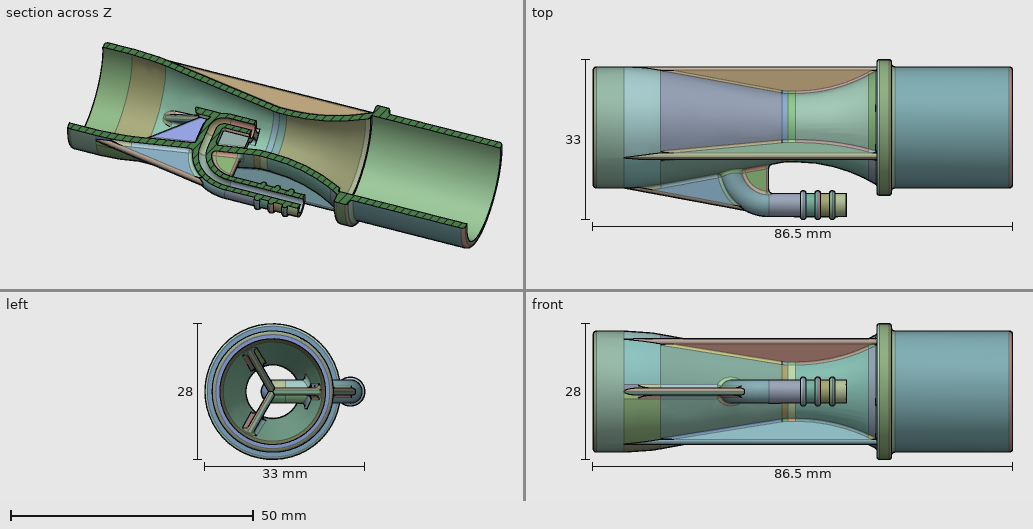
import cadquery as cq
import math

LENGTH = 86.47
BODY_RADIUS = 12.5
WALL = 1.6
INLET_LENGTH = 6.4
CONE_START = 13.9
CONE_END = 38.9
THROAT_START = 40.2
THROAT_END = 41.75
THROAT_RADIUS = 7.1
FLARE_END = 58.5
FLARE_RADIUS = 31.5
FLARE_ARC_END = 56.8
FLARE_FILLET = 0.5
CONE_ANGLE = math.radians(10.4)
END_ROUND = 0.75

FLANGE_RADIUS = 14.0
FLANGE_WIDTH = 3.0
FLANGE_ROUND = 0.5
FLANGE_FILLET = 0.75

RIB_COUNT = 3
RIB_THICKNESS = 1.5
RIB_ROUND = 0.7
RIB_FOOT_FILLET = 0.5
VANE_WALL_X = 14.5
VANE_HUB_X = 25.0
VANE_ROUND = 0.4
VANE_FOOT_FILLET = 0.8

TUBE_RADIUS = 2.4
TUBE_BORE_RADIUS = 1.5
TUBE_AXIS_Y = -16.0
TUBE_BEND_END = 36.3
TUBE_BEND_RADIUS = 7.9
TUBE_END = 52.2
NOZZLE_BEND_RADIUS = 2.6
NOZZLE_END = 36.3
BARB_FIRST = 43.3
BARB_PITCH = 3.0
BARB_COUNT = 3
BARB_RADIUS = 0.6

GUSSET_TIP = (31.2, -17.1)
WEB_END = 36.2
WEB_ROUND = 0.5
WEB_FILLET = 0.85

TUBE_DROP_X = TUBE_BEND_END - TUBE_BEND_RADIUS
MARGIN = 0.05
FLANGE_END = FLARE_END + FLANGE_WIDTH


def arc_middle(start, centre, end):
    """Point half-way along the short arc from start to end about centre."""
    radius = math.dist(start, centre)
    chord_x = (start[0] + end[0]) / 2 - centre[0]
    chord_y = (start[1] + end[1]) / 2 - centre[1]
    scale = radius / math.hypot(chord_x, chord_y)
    return (centre[0] + chord_x * scale, centre[1] + chord_y * scale)


def venturi(inset):
    """Solid of revolution of the venturi shape, inset inwards from the outside."""
    body_radius = BODY_RADIUS - inset
    throat_radius = THROAT_RADIUS - inset
    flare_radius = FLARE_RADIUS + inset

    shoulder_radius = (CONE_START - INLET_LENGTH) / math.sin(CONE_ANGLE)
    shoulder_start = (INLET_LENGTH, body_radius)
    shoulder_centre = (INLET_LENGTH, body_radius - shoulder_radius)
    shoulder_end = (CONE_START, shoulder_centre[1] + shoulder_radius * math.cos(CONE_ANGLE))
    blend_radius = (THROAT_START - CONE_END) / math.sin(CONE_ANGLE)
    throat_start = (THROAT_START, throat_radius)
    blend_centre = (THROAT_START, throat_radius + blend_radius)
    cone_end = (CONE_END, blend_centre[1] - blend_radius * math.cos(CONE_ANGLE))
    throat_end = (THROAT_END, throat_radius)
    flare_centre = (THROAT_END, throat_radius + flare_radius)
    flare_angle = math.asin((FLARE_ARC_END - THROAT_END) / FLARE_RADIUS)
    flare_arc_end = (
        THROAT_END + flare_radius * math.sin(flare_angle),
        flare_centre[1] - flare_radius * math.cos(flare_angle),
    )
    flare_rise = (FLARE_END - flare_arc_end[0]) * math.tan(flare_angle)

    return (
        cq.Workplane("XY")
        .moveTo(0, 0)
        .lineTo(0, body_radius)
        .lineTo(*shoulder_start)
        .threePointArc(arc_middle(shoulder_start, shoulder_centre, shoulder_end), shoulder_end)
        .lineTo(*cone_end)
        .threePointArc(arc_middle(cone_end, blend_centre, throat_start), throat_start)
        .lineTo(*throat_end)
        .threePointArc(arc_middle(throat_end, flare_centre, flare_arc_end), flare_arc_end)
        .lineTo(FLARE_END, flare_arc_end[1] + flare_rise)
        .lineTo(FLARE_END, body_radius)
        .lineTo(LENGTH, body_radius)
        .lineTo(LENGTH, 0)
        .close()
        .revolve(360, (0, 0, 0), (1, 0, 0))
    )


def cylinder_x(start, end, radius):
    """Cylinder on the X axis."""
    return cq.Workplane("YZ", origin=(start, 0, 0)).circle(radius).extrude(end - start)


def ring_edges(body, x):
    """Circular edges of the body at one X place, on or inside the body radius."""
    reach = BODY_RADIUS + MARGIN
    selector = cq.selectors.BoxSelector(
        (x - MARGIN, -reach, -reach), (x + MARGIN, reach, reach), boundingbox=True
    )
    return body.edges(selector)


def plate(start, end, low, high):
    """Plate of rib thickness, centred on the XY plane."""
    return (
        cq.Workplane("XY")
        .box(end - start, high - low, RIB_THICKNESS, centered=(False, False, True))
        .translate((start, low, 0))
    )


def spread(blank, first_angle):
    """Copies of a rib or vane blank, evenly spaced about the X axis."""
    step = 360 / RIB_COUNT
    spokes = blank.rotate((0, 0, 0), (1, 0, 0), first_angle)
    for index in range(1, RIB_COUNT):
        spokes = spokes.union(blank.rotate((0, 0, 0), (1, 0, 0), first_angle + index * step))
    return spokes


def outer_body():
    """Venturi outside with rounded ends and its flange."""
    body = venturi(0).faces("<X or >X").edges().fillet(END_ROUND)
    flange = cylinder_x(FLARE_END, FLANGE_END, FLANGE_RADIUS).edges().fillet(FLANGE_ROUND)
    body = body.union(flange)
    body = ring_edges(body, FLARE_END).fillet(FLARE_FILLET)
    return ring_edges(body, FLANGE_END).fillet(FLANGE_FILLET)


def outer_ribs():
    """Axial ribs at the body radius; the first one stands towards +Y."""
    blank = plate(INLET_LENGTH, FLARE_END, 0, BODY_RADIUS).edges("|X and >Y").fillet(RIB_ROUND)
    return spread(blank, 0)


def rib_feet():
    """Filleted feet of the outer ribs, kept below the rounded rib edges."""
    tall_rib = plate(0, FLARE_END, 0, 2 * BODY_RADIUS)
    body = venturi(0).union(spread(tall_rib, 0))
    foot_edges = []
    for edge in body.edges("not %CIRCLE").vals():
        middle = edge.Center()
        radius = math.hypot(middle.y, middle.z)
        box = edge.BoundingBox()
        if box.xmin > INLET_LENGTH - MARGIN and box.xmax < FLARE_END + MARGIN:
            if box.xlen > MARGIN and radius < BODY_RADIUS:
                foot_edges.append(edge)
    filleted = body.newObject(foot_edges).fillet(RIB_FOOT_FILLET)
    return filleted.intersect(cylinder_x(INLET_LENGTH, FLARE_END, BODY_RADIUS - RIB_ROUND))


def tube_solid(radius):
    """Solid rod along the path of the side tube, from its free end to the nozzle tip."""
    bend_start = (TUBE_BEND_END, TUBE_AXIS_Y)
    bend_centre = (TUBE_BEND_END, TUBE_AXIS_Y + TUBE_BEND_RADIUS)
    bend_end = (TUBE_DROP_X, bend_centre[1])
    nozzle_bend_start = (TUBE_DROP_X, -NOZZLE_BEND_RADIUS)
    nozzle_bend_centre = (TUBE_DROP_X + NOZZLE_BEND_RADIUS, -NOZZLE_BEND_RADIUS)
    nozzle_bend_end = (nozzle_bend_centre[0], 0)
    path = (
        cq.Workplane("XY")
        .moveTo(TUBE_END, TUBE_AXIS_Y)
        .lineTo(*bend_start)
        .threePointArc(arc_middle(bend_start, bend_centre, bend_end), bend_end)
        .lineTo(*nozzle_bend_start)
        .threePointArc(
            arc_middle(nozzle_bend_start, nozzle_bend_centre, nozzle_bend_end), nozzle_bend_end
        )
        .lineTo(NOZZLE_END, 0)
    )
    return cq.Workplane("YZ", origin=(TUBE_END, TUBE_AXIS_Y, 0)).circle(radius).sweep(path)


def tube_barbs():
    """Round hose barbs on the straight outer length of the tube."""
    barbs = cq.Workplane("XY")
    for index in range(BARB_COUNT):
        centre = cq.Vector(BARB_FIRST + index * BARB_PITCH, TUBE_AXIS_Y, 0)
        barbs = barbs.add(cq.Solid.makeTorus(TUBE_RADIUS, BARB_RADIUS, centre, cq.Vector(1, 0, 0)))
    return barbs.combine()


def gusset_outline(inset):
    """Side of the gusset, its sloping edge moved inwards by inset."""
    slope = math.atan2(GUSSET_TIP[1] + BODY_RADIUS, GUSSET_TIP[0] - INLET_LENGTH)
    drop = inset / math.cos(slope)
    return (
        cq.Workplane("XY")
        .moveTo(INLET_LENGTH, drop - BODY_RADIUS)
        .lineTo(GUSSET_TIP[0], GUSSET_TIP[1] + drop)
    )


def gusset():
    """Gusset ahead of the tube bend, with its free edges rounded."""
    return (
        gusset_outline(0)
        .lineTo(GUSSET_TIP[0], 0)
        .lineTo(INLET_LENGTH, 0)
        .close()
        .extrude(RIB_THICKNESS / 2, both=True)
        .faces("<Y")
        .edges("not |Z")
        .edges(">Z or <Z")
        .fillet(RIB_ROUND)
    )


def tube_mount():
    """Side tube with its gusset and web, blended into the body."""
    tall_gusset = plate(0, GUSSET_TIP[0], -2 * BODY_RADIUS, -THROAT_RADIUS)
    web = plate(TUBE_DROP_X, WEB_END, TUBE_AXIS_Y, 0).edges("|Y and >X").fillet(WEB_ROUND)
    tube = tube_solid(TUBE_RADIUS)
    body = venturi(0).union(tall_gusset).union(web).union(tube)
    foot_edges = []
    for edge in body.edges("not %LINE").vals():
        box = edge.BoundingBox()
        if box.xmin > INLET_LENGTH - MARGIN and box.xmax < BARB_FIRST:
            if box.ymax < -THROAT_RADIUS / 2 and box.ymin > GUSSET_TIP[1] - MARGIN:
                foot_edges.append(edge)
    filleted = body.newObject(foot_edges).fillet(WEB_FILLET)
    region = (
        gusset_outline(RIB_ROUND)
        .lineTo(BARB_FIRST, GUSSET_TIP[1])
        .lineTo(BARB_FIRST, 0)
        .lineTo(INLET_LENGTH, 0)
        .close()
        .extrude(2 * TUBE_RADIUS, both=True)
    )
    shoulder_to_flange = venturi(0).intersect(cylinder_x(INLET_LENGTH, FLARE_END, BODY_RADIUS))
    envelope = region.union(shoulder_to_flange).union(tube)
    return filleted.intersect(envelope).union(gusset())


def vane():
    """One vane standing towards +Y, its rounded leading edge raked back to the axis."""
    wall_radius = BODY_RADIUS - WALL
    rake = cq.Vector(VANE_HUB_X - VANE_WALL_X, -wall_radius, 0)
    return (
        cq.Workplane("XY")
        .moveTo(VANE_HUB_X, 0)
        .lineTo(VANE_WALL_X, wall_radius)
        .lineTo(VANE_WALL_X, BODY_RADIUS)
        .lineTo(NOZZLE_END, BODY_RADIUS)
        .lineTo(NOZZLE_END, 0)
        .close()
        .extrude(RIB_THICKNESS / 2, both=True)
        .edges(cq.selectors.ParallelDirSelector(rake))
        .fillet(VANE_ROUND)
    )


def cavity():
    """Air space inside the body around the vanes and nozzle, blended where they meet the wall."""
    space = venturi(WALL).cut(spread(vane(), 180)).cut(tube_solid(TUBE_RADIUS))
    throat_bore_radius = THROAT_RADIUS - WALL
    foot_edges = []
    for edge in space.edges().vals():
        box = edge.BoundingBox()
        points = [edge.startPoint(), edge.Center(), edge.endPoint()]
        on_wall = min(math.hypot(point.y, point.z) for point in points) > throat_bore_radius
        if on_wall and box.xmin > VANE_WALL_X and box.xmax < NOZZLE_END + MARGIN:
            if box.xlen > MARGIN / 2:
                foot_edges.append(edge)
    return space.newObject(foot_edges).fillet(VANE_FOOT_FILLET)


body = outer_body().union(tube_mount())
body = body.union(tube_barbs())
body = body.union(outer_ribs()).union(rib_feet())
result = body.cut(cavity()).cut(tube_solid(TUBE_BORE_RADIUS))